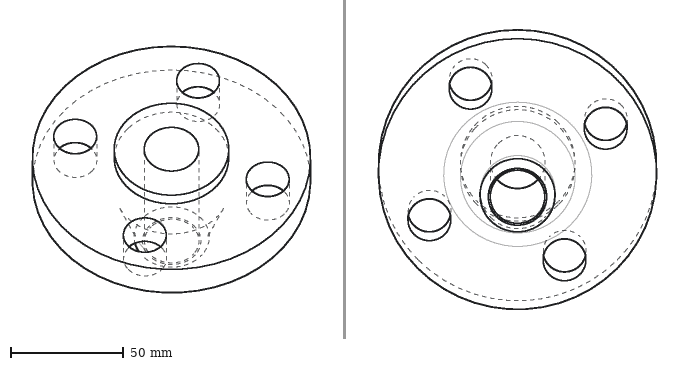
import cadquery as cq
import math

flange_radius = 61.9
flange_thickness = 17.5
face_radius = 25.5
face_height = 6.5
total_height = 68.2

bore_radius = 12.1
bolt_count = 4
bolt_hole_radius = 9.5
bolt_circle_radius = 44.5

weld_end_radius = 16.7
weld_tip_radius = 13.0
bevel_height = 3.0
weld_end_height = 9.7
cone_top_radius = 25.5
cone_top_height = 38.8
neck_fillet_radius = 7.8

flange_top = total_height - face_height
flange_bottom = flange_top - flange_thickness

cone_angle = math.atan2(cone_top_radius - weld_end_radius, cone_top_height - weld_end_height)
fillet_outer_radius = cone_top_radius + neck_fillet_radius * math.cos(cone_angle)


def make_body():
    """Revolve the half section, bore included, about the Z axis."""
    profile = (
        cq.Workplane("XZ")
        .moveTo(bore_radius, 0)
        .lineTo(weld_tip_radius, 0)
        .lineTo(weld_end_radius, bevel_height)
        .lineTo(weld_end_radius, weld_end_height)
        .lineTo(cone_top_radius, cone_top_height)
        .tangentArcPoint((fillet_outer_radius, flange_bottom), relative=False)
        .lineTo(flange_radius, flange_bottom)
        .lineTo(flange_radius, flange_top)
        .lineTo(face_radius, flange_top)
        .lineTo(face_radius, total_height)
        .lineTo(bore_radius, total_height)
        .close()
    )
    return profile.revolve(360, (0, 0, 0), (0, 1, 0))


def make_bolt_holes():
    """Through-hole cutters on the bolt circle."""
    return (
        cq.Workplane("XY")
        .workplane(offset=flange_bottom)
        .polarArray(bolt_circle_radius, 0, 360, bolt_count)
        .circle(bolt_hole_radius)
        .extrude(flange_thickness)
    )


result = make_body().cut(make_bolt_holes())